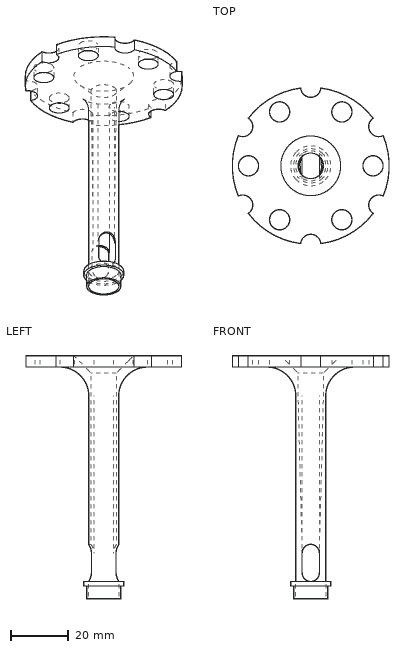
import cadquery as cq
import math

total_height = 85.0

disc_diameter = 54.9
disc_thickness = 4.0
hole_diameter = 7.0
hole_circle_radius = 21.8
hole_count = 6
hole_pitch = 360 / hole_count
disc_bottom = total_height - disc_thickness

stem_diameter = 10.5
stem_radius = stem_diameter / 2
flare_radius = 10.0
flare_start = disc_bottom - flare_radius
bore_diameter = 8.9
bore_radius = bore_diameter / 2
funnel_diameter = 20.9
funnel_depth = 6.0
funnel_bottom = total_height - funnel_depth

collar_diameter = 12.0
flange_diameter = 14.0
collar_height = 6.1
flange_thickness = 1.6

slot_width = 5.95
slot_height = 12.9
slot_bottom = collar_height
bore_bottom = slot_bottom + slot_height - slot_width / 2


def make_blank():
    """Revolved disc and stem, joined by a concave quarter-round flare."""
    disc_radius = disc_diameter / 2
    flare_offset = flare_radius * (1 - math.sqrt(0.5))
    return (
        cq.Workplane("XZ")
        .moveTo(0, 0)
        .lineTo(stem_radius, 0)
        .lineTo(stem_radius, flare_start)
        .threePointArc(
            (stem_radius + flare_offset, disc_bottom - flare_offset),
            (stem_radius + flare_radius, disc_bottom),
        )
        .lineTo(disc_radius, disc_bottom)
        .lineTo(disc_radius, total_height)
        .lineTo(0, total_height)
        .close()
        .revolve(360, (0, 0), (0, 1))
    )


def make_funnel():
    """Conical mouth that narrows from the top of the disc to the bore."""
    return cq.Workplane(
        cq.Solid.makeCone(
            bore_radius,
            funnel_diameter / 2,
            funnel_depth,
            pnt=cq.Vector(0, 0, funnel_bottom),
        )
    )


def make_bore():
    """Bore that is round down to the end of the flare, then narrows in X to the slot width."""
    flat_x = slot_width / 2
    corner_y = math.sqrt(bore_radius**2 - flat_x**2)
    round_bore = (
        cq.Workplane("XY", origin=(0, 0, flare_start))
        .circle(bore_radius)
        .extrude(funnel_bottom - flare_start)
    )
    round_section = (
        cq.Workplane("XY", origin=(0, 0, flare_start))
        .moveTo(flat_x, -corner_y)
        .threePointArc((bore_radius, 0), (flat_x, corner_y))
        .threePointArc((0, bore_radius), (-flat_x, corner_y))
        .threePointArc((-bore_radius, 0), (-flat_x, -corner_y))
        .threePointArc((0, -bore_radius), (flat_x, -corner_y))
        .close()
    )
    flat_section = (
        cq.Workplane("XY", origin=(0, 0, bore_bottom))
        .moveTo(flat_x, -corner_y)
        .lineTo(flat_x, corner_y)
        .threePointArc((0, bore_radius), (-flat_x, corner_y))
        .lineTo(-flat_x, -corner_y)
        .threePointArc((0, -bore_radius), (flat_x, -corner_y))
        .close()
    )
    sections = [round_section.val(), flat_section.val()]
    narrowing_bore = cq.Workplane(cq.Solid.makeLoft(sections, True))
    return round_bore.union(narrowing_bore)


def make_disc_cutters(circle_radius, start_angle):
    """Ring of round cutters through the disc."""
    return (
        cq.Workplane("XY")
        .workplane(offset=disc_bottom)
        .polarArray(circle_radius, start_angle, 360, hole_count)
        .circle(hole_diameter / 2)
        .extrude(disc_thickness)
    )


def make_slot():
    """Round-ended upright slot cutter that passes through the stem along Y."""
    return (
        cq.Workplane("XZ")
        .center(0, slot_bottom + slot_height / 2)
        .slot2D(slot_height, slot_width, 90)
        .extrude(stem_radius, both=True)
    )


def make_stem():
    """Flared stem with its disc, funnel, bore, holes, rim notches and slot."""
    holes = make_disc_cutters(hole_circle_radius, 0)
    rim_notches = make_disc_cutters(disc_diameter / 2, hole_pitch / 2)
    stem_body = make_blank().cut(holes).cut(rim_notches)
    return stem_body.cut(make_funnel()).cut(make_bore()).cut(make_slot())


def make_collar():
    """Sleeve with a thin flange at its upper end."""
    sleeve = cq.Workplane("XY").circle(collar_diameter / 2).extrude(collar_height)
    flange = (
        cq.Workplane("XY")
        .workplane(offset=collar_height - flange_thickness)
        .circle(flange_diameter / 2)
        .extrude(flange_thickness)
    )
    stem_hole = cq.Workplane("XY").circle(stem_radius).extrude(collar_height)
    return sleeve.union(flange).cut(stem_hole)


stem = make_stem()
collar = make_collar()
result = cq.Compound.makeCompound([stem.val(), collar.val()])